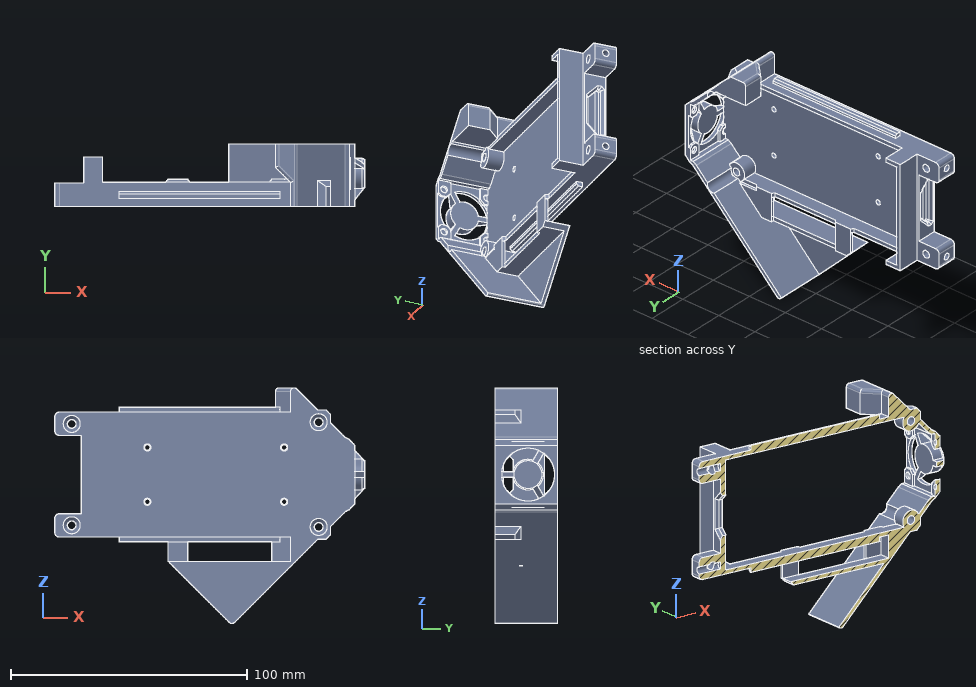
import cadquery as cq
import math

depth = 26.5
half_height = 26.5
plate_depth = 10.3
floor_thickness = 3.7
wall = 2.0
thin_floor = 1.8
head_x = 99.8
nose_x = 127.07
total_length = 131.22

diagonal_sum = 138.7
inner_diagonal_sum = diagonal_sum - wall * math.sqrt(2)

ear_length = 11.2
ear_width = 10.0
ear_depth = 10.0
ear_radius = 2.0
ear_pin_dia = 3.0
ear_pin_y = 5.07
ear_pin_z = 22.0

bridge_x = 12.25
bridge_length = 8.0
bridge_top_y = 21.0

window_top_y = 8.9
window_bottom_y = 0.7
window_knee_y = 3.7
window_top_half = 6.8
window_bottom_half = window_top_half + window_top_y - window_knee_y
window_corner = 1.2
window_rim = 1.2

rail_x = 27.3
rail_length = 68.0
rail_y = 3.5
rail_depth = 2.8
rail_height = 2.0
rail_chamfer = 0.9

tower_x = 93.4
tower_bottom_z = 25.75
tower_top_z = 36.7
tower_slant_y = 10.2
tower_radius = 1.5

shelf_z = -36.7
triangle_left_x = 48.0
triangle_right_x = diagonal_sum + shelf_z
tip_x = (triangle_left_x + triangle_right_x) / 2
tip_z = shelf_z - (triangle_right_x - triangle_left_x) / 2
tip_radius = 1.5

strap_top_y = 11.6
strap_width = 8.4
strap_flare = 1.0
strap_starts = (47.9, 91.8)

screw_dia = 3.6
screw_head_dia = 7.2
ear_screw = (7.2, 21.45)
head_screw = (111.7, 22.15)
head_boss_dia = 9.0
head_bore_dia = 6.0

pad_x = 116.8
pad_z = 27.4
pad_chamfer = 2.0
pad_depth = 8.5
pad_reach = (pad_x + pad_z - pad_chamfer - diagonal_sum) / math.sqrt(2)
head_seat_y = pad_depth + pad_reach

small_hole_dia = 2.3
small_hole_mouth_dia = 3.0
small_hole_mouth_depth = 0.5
small_hole_xs = (39.2, 97.1)
small_hole_z = 11.5

nose_half = 12.4
nose_shoulder = (124.65, 14.9)
nose_root_x = 122.9
fan_y = 14.0
fan_opening_radius = 11.2
fan_pocket_half = 13.9
fan_pocket_root_z = 15.1
fan_pocket_shoulder_x = 122.5
fan_pitch = 20.0
fan_pad_width = 6.4
fan_pad_height = 1.0
fan_screw_dia = 3.0

hub_radius = 6.5
hub_face_radius = 5.9
hub_rim_x = 130.1
spoke_width = 2.4
spoke_front_radius = 11.1
spoke_count = 3


def prism(points, y_start, y_end):
    """Extrude an (x, z) outline from y_start to y_end."""
    outline = cq.Workplane("XZ", origin=(0, y_start, 0)).polyline(points).close()
    return outline.extrude(y_start - y_end)


def block(x_range, y_range, z_range):
    size = [end - start for start, end in (x_range, y_range, z_range)]
    corner = (x_range[0], y_range[0], z_range[0])
    return cq.Workplane("XY").box(*size, centered=False).translate(corner)


def cylinder_y(diameter, x, z, y_start, y_end):
    base = cq.Workplane("XZ", origin=(x, y_start, z))
    return base.circle(diameter / 2).extrude(y_start - y_end)


def mirrored(points):
    """Close an upper (x, z) half outline with its mirror image below z = 0."""
    return points + [(x, -z) for x, z in reversed(points)]


def make_plate():
    plate = block((0, head_x), (0, plate_depth), (-half_height, half_height))
    ear_step = block((0, bridge_x), (ear_depth, plate_depth), (-half_height, half_height))
    notch_half = half_height - ear_width
    notch = block((0, ear_length), (0, plate_depth), (-notch_half, notch_half))
    plate = plate.cut(ear_step).cut(notch)
    return plate.faces("<X").edges("|Y").fillet(ear_radius)


def make_head():
    outline = [
        (head_x, half_height),
        (diagonal_sum - half_height, half_height),
        (nose_root_x, diagonal_sum - nose_root_x),
        nose_shoulder,
        (nose_x, nose_half),
    ]
    return prism(mirrored(outline), 0, depth)


def make_tower():
    right_x = diagonal_sum - tower_top_z
    profile = [
        (tower_x, tower_bottom_z),
        (tower_x, tower_top_z),
        (right_x, tower_top_z),
        (diagonal_sum - tower_bottom_z, tower_bottom_z),
    ]
    step = head_x - tower_x
    front_corner = (
        cq.Workplane("XY")
        .polyline([
            (tower_x, 0),
            (head_x, 0),
            (head_x, tower_slant_y),
            (tower_x, tower_slant_y + step),
        ])
        .close()
        .extrude(tower_top_z)
    )
    tower = prism(profile, 0, depth).cut(front_corner)
    return tower.faces(">Z").edges("not |X").fillet(tower_radius)


def make_triangle():
    corners = [(triangle_left_x, shelf_z), (tip_x, tip_z), (triangle_right_x, shelf_z)]
    solid = prism(corners, 0, depth).edges("|Y and <Z").fillet(tip_radius)
    ceiling_z = shelf_z - wall
    hollow = prism(
        [
            (0, ceiling_z),
            (inner_diagonal_sum + ceiling_z, ceiling_z),
            (inner_diagonal_sum + 2 * tip_z, 2 * tip_z),
            (0, 2 * tip_z),
        ],
        thin_floor,
        depth,
    )
    above_shelf = prism(
        [
            (0, shelf_z),
            (inner_diagonal_sum + shelf_z, shelf_z),
            (inner_diagonal_sum + ceiling_z, ceiling_z),
            (0, ceiling_z),
        ],
        plate_depth,
        depth,
    )
    return solid.cut(hollow).cut(above_shelf)


def make_lower_corner():
    """Full-depth corner between the plate, the shelf and the diagonal wall."""
    corner = [
        (head_x, -half_height),
        (diagonal_sum - half_height, -half_height),
        (triangle_right_x, shelf_z),
        (head_x, shelf_z),
    ]
    inner_wedge = [
        (inner_diagonal_sum + shelf_z, shelf_z),
        (head_x, head_x - inner_diagonal_sum),
        (head_x, shelf_z),
    ]
    return prism(corner, 0, depth).union(prism(inner_wedge, plate_depth, depth))


def make_cavity():
    half = half_height - wall
    inner_x = nose_x - wall
    nose = [
        (inner_diagonal_sum - fan_pocket_root_z, fan_pocket_root_z),
        (fan_pocket_shoulder_x, fan_pocket_half),
        (inner_x, fan_pocket_half),
    ]
    lower = [(bridge_x + wall, half), (inner_diagonal_sum - half, half)] + nose
    cavity = prism(mirrored(lower), floor_thickness, plate_depth)
    top = tower_bottom_z
    upper = [(tower_x, top), (inner_diagonal_sum - top, top)] + nose
    upper += [(x, -z) for x, z in reversed(nose)]
    upper += [(inner_diagonal_sum - half_height, -half_height), (tower_x, -half_height)]
    cavity = cavity.union(prism(upper, plate_depth, depth))
    corner = [
        (tower_x, -half_height),
        (inner_diagonal_sum - half_height, -half_height),
        (inner_diagonal_sum + shelf_z, shelf_z),
        (tower_x, shelf_z),
    ]
    return cavity.union(prism(corner, strap_top_y, depth))


def make_bridge():
    bridge = block(
        (bridge_x, bridge_x + bridge_length),
        (ear_depth, bridge_top_y),
        (-half_height, half_height),
    )
    inner_half = half_height - wall
    back_recess = block(
        (bridge_x + wall, bridge_x + bridge_length),
        (ear_depth, bridge_top_y),
        (-inner_half, inner_half),
    )
    return bridge.cut(back_recess)


def window_outline(inset, x):
    """Trapezoid in the YZ plane at the given x, shrunk by inset on every side."""
    half = [
        (window_top_y, window_top_half),
        (window_knee_y, window_bottom_half),
        (window_bottom_y + window_corner, window_bottom_half),
        (window_bottom_y, window_bottom_half - window_corner),
    ]
    outline = cq.Workplane("YZ", origin=(x, 0, 0)).polyline(mirrored(half)).close()
    return outline.offset2D(-inset, "intersection") if inset else outline


def make_window():
    mouth = window_outline(0, ear_length).extrude(window_rim, taper=45)
    return mouth.union(window_outline(window_rim, ear_length).extrude(bridge_x + wall - ear_length))


def make_rail(side):
    top = half_height + rail_height
    y_end = rail_y + rail_depth
    profile = [
        (rail_y, half_height - wall),
        (rail_y, top),
        (y_end - rail_chamfer, top),
        (y_end, top - rail_chamfer),
        (y_end, half_height - wall),
    ]
    profile = [(y, side * z) for y, z in profile]
    return cq.Workplane("YZ", origin=(rail_x, 0, 0)).polyline(profile).close().extrude(rail_length)


def make_strap(x):
    """Flat strap behind the plate edge, with a flared foot on the plate's side wall."""
    x_end = x + strap_width
    inner_z = -half_height + wall
    strap = block((x, x_end), (plate_depth, strap_top_y), (shelf_z - wall, inner_z))
    foot = (
        cq.Workplane("XY", origin=(0, 0, -half_height))
        .polyline([
            (x - strap_flare, plate_depth),
            (x_end + strap_flare, plate_depth),
            (x_end, strap_top_y),
            (x, strap_top_y),
        ])
        .close()
        .extrude(wall)
    )
    return strap.union(foot)


def past_shelf_end():
    """Space beyond the slanted left end of the shelf, where the first strap is trimmed."""
    ceiling_z = shelf_z - wall
    outline = [
        (0, shelf_z),
        (triangle_left_x, shelf_z),
        (triangle_left_x + wall, ceiling_z),
        (0, ceiling_z),
    ]
    return prism(outline, plate_depth, strap_top_y)


def make_screw_pad(side):
    """Chamfered pad outside the diagonal wall that slopes back into it at 45 degrees."""
    x_root = diagonal_sum - pad_z
    z_root = diagonal_sum - pad_x
    outline = [
        (x_root, pad_z),
        (pad_x - pad_chamfer, pad_z),
        (pad_x, pad_z - pad_chamfer),
        (pad_x, z_root),
    ]
    pad = prism(outline, 0, head_seat_y)
    slope_plane = cq.Plane(origin=(x_root, 0, pad_z), xDir=(1, 0, 1), normal=(1, 0, -1))
    y_sign = slope_plane.yDir.y
    slope = (
        cq.Workplane(slope_plane)
        .polyline([
            (0, y_sign * head_seat_y),
            (2 * pad_reach, y_sign * (pad_depth - pad_reach)),
            (2 * pad_reach, y_sign * head_seat_y),
        ])
        .close()
        .extrude(pad_x, both=True)
    )
    pad = pad.cut(slope)
    return pad if side > 0 else pad.mirror("XY")


def screw_hole(x, z):
    head_radius = screw_head_dia / 2
    cone_depth = head_radius - screw_dia / 2
    cone = cq.Solid.makeCone(
        head_radius, screw_dia / 2, cone_depth, cq.Vector(x, 0, z), cq.Vector(0, 1, 0)
    )
    return cylinder_y(screw_dia, x, z, 0, depth).union(cq.Workplane(cone))


def small_hole(x, z):
    mouth = cylinder_y(small_hole_mouth_dia, x, z, 0, small_hole_mouth_depth)
    return cylinder_y(small_hole_dia, x, z, 0, floor_thickness).union(mouth)


def make_fan_pad(y_side, z_side):
    """Pad inside the nose wall with a blind screw hole and chamfered corners toward the opening."""
    y = fan_y + y_side * fan_pitch / 2
    z = z_side * fan_pitch / 2
    face_x = nose_x - wall - fan_pad_height
    embed = wall / 4
    half_width = fan_pad_width / 2
    octagon_turn = 180 / 8
    across_corners = fan_pad_width / math.cos(math.radians(octagon_turn))
    octagon = (
        cq.Workplane("YZ")
        .transformed(rotate=(0, 0, octagon_turn))
        .polygon(8, across_corners)
        .extrude(fan_pad_height + embed)
        .translate((face_x, y, z))
    )
    outer_z = z_side * fan_pocket_half
    root = block(
        (face_x, nose_x - wall + embed),
        (y - half_width, y + half_width),
        (min(z, outer_z), max(z, outer_z)),
    )
    hole = cq.Workplane("YZ", origin=(face_x, y, z)).circle(fan_screw_dia / 2).extrude(fan_pad_height)
    inside = block((0, nose_x), (0, depth), (-half_height, half_height))
    return octagon.union(root).intersect(inside).cut(hole)


def make_fan_guard():
    hub = (
        cq.Workplane("XY", origin=(0, fan_y, 0))
        .polyline([
            (nose_x - wall, 0),
            (total_length, 0),
            (total_length, -hub_face_radius),
            (hub_rim_x, -hub_radius),
            (nose_x - wall, -hub_radius),
        ])
        .close()
    )
    guard = hub.revolve(360, (0, 0), (1, 0))
    spoke = (
        cq.Workplane("XY", origin=(0, fan_y, -spoke_width / 2))
        .polyline([
            (nose_x - wall, 0),
            (total_length, 0),
            (total_length, -hub_face_radius),
            (nose_x, -spoke_front_radius),
            (nose_x, -fan_opening_radius - wall / 2),
            (nose_x - wall, -fan_opening_radius - wall / 2),
        ])
        .close()
        .extrude(spoke_width)
    )
    for index in range(spoke_count):
        angle = index * 360 / spoke_count
        guard = guard.union(spoke.rotate((0, fan_y, 0), (1, fan_y, 0), angle))
    return guard


head = make_head()
body = make_plate().union(head).union(make_tower()).union(make_lower_corner())
body = body.cut(make_cavity()).union(make_triangle()).union(make_bridge())
for strap_x in strap_starts:
    body = body.union(make_strap(strap_x).cut(past_shelf_end()))
body = body.cut(make_window())

fan_axis = cq.Workplane("YZ", origin=(nose_x - wall, fan_y, 0))
fan_opening = fan_axis.circle(fan_opening_radius).extrude(wall)
body = body.cut(fan_opening).union(make_fan_guard())
for fan_y_side in (1, -1):
    for fan_z_side in (1, -1):
        body = body.union(make_fan_pad(fan_y_side, fan_z_side))

for side in (1, -1):
    head_x_pos, head_z = head_screw[0], side * head_screw[1]
    body = body.union(make_rail(side)).union(make_screw_pad(side))
    boss = cylinder_y(head_boss_dia, head_x_pos, head_z, 0, head_seat_y)
    body = body.union(boss.intersect(head))
    body = body.cut(cylinder_y(head_bore_dia, head_x_pos, head_z, head_seat_y, depth))
    body = body.cut(screw_hole(head_x_pos, head_z))
    body = body.cut(screw_hole(ear_screw[0], side * ear_screw[1]))
    pin = cq.Workplane("YZ", origin=(0, ear_pin_y, side * ear_pin_z)).circle(ear_pin_dia / 2)
    body = body.cut(pin.extrude(ear_length))
    for hole_x in small_hole_xs:
        body = body.cut(small_hole(hole_x, side * small_hole_z))

result = body.clean()